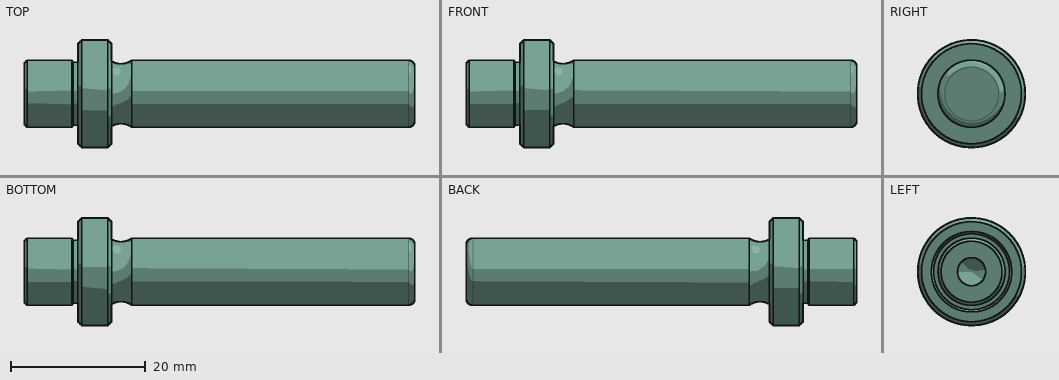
import cadquery as cq
import math

total_length = 58.0

pin_radius = 5.0
flange_radius = 8.0

flange_start = 8.0
flange_width = 5.0
flange_end = flange_start + flange_width
flange_chamfer = 0.6
spigot_chamfer = 0.45
shank_round = 1.0

relief_start = 7.1
relief_depth = 0.3
relief_slope_length = 0.25
relief_radius = pin_radius - relief_depth
relief_face_inner_radius = 5.6
relief_face_outer_radius = 6.0

neck_center = 14.4
neck_end = 16.0
neck_depth = 0.5
neck_half_width = neck_end - neck_center
neck_arc_radius = (neck_half_width**2 + neck_depth**2) / (2 * neck_depth)
neck_radius = pin_radius - neck_depth
neck_axis_radius = neck_radius + neck_arc_radius

bore_radius = 2.1
bore_depth = 12.0
drill_point_angle = 118.0


def neck_radius_at(x):
    """Radius of the concave neck at axial position x."""
    return neck_axis_radius - math.sqrt(neck_arc_radius**2 - (x - neck_center) ** 2)


def make_body():
    """Revolve the outer half-profile about the X axis."""
    round_start = total_length - shank_round
    round_mid_offset = shank_round * math.sqrt(0.5)
    round_center_radius = pin_radius - shank_round
    profile = (
        cq.Workplane("XY")
        .moveTo(0, 0)
        .lineTo(0, pin_radius - spigot_chamfer)
        .lineTo(spigot_chamfer, pin_radius)
        .lineTo(relief_start, pin_radius)
        .lineTo(relief_start + relief_slope_length, relief_radius)
        .lineTo(flange_start + relief_depth, relief_radius)
        .lineTo(flange_start + relief_depth, relief_face_inner_radius)
        .lineTo(flange_start, relief_face_outer_radius)
        .lineTo(flange_start, flange_radius - flange_chamfer)
        .lineTo(flange_start + flange_chamfer, flange_radius)
        .lineTo(flange_end - flange_chamfer, flange_radius)
        .lineTo(flange_end, flange_radius - flange_chamfer)
        .lineTo(flange_end, neck_radius_at(flange_end))
        .threePointArc((neck_center, neck_radius), (neck_end, pin_radius))
        .lineTo(round_start, pin_radius)
        .threePointArc(
            (round_start + round_mid_offset, round_center_radius + round_mid_offset),
            (total_length, round_center_radius),
        )
        .lineTo(total_length, 0)
        .close()
    )
    return profile.revolve(360, (0, 0, 0), (1, 0, 0))


def make_bore():
    """Revolve the drilled hole, including its conical tip."""
    tip_length = bore_radius / math.tan(math.radians(drill_point_angle / 2))
    profile = (
        cq.Workplane("XY")
        .moveTo(0, 0)
        .lineTo(0, bore_radius)
        .lineTo(bore_depth, bore_radius)
        .lineTo(bore_depth + tip_length, 0)
        .close()
    )
    return profile.revolve(360, (0, 0, 0), (1, 0, 0))


result = make_body().cut(make_bore())